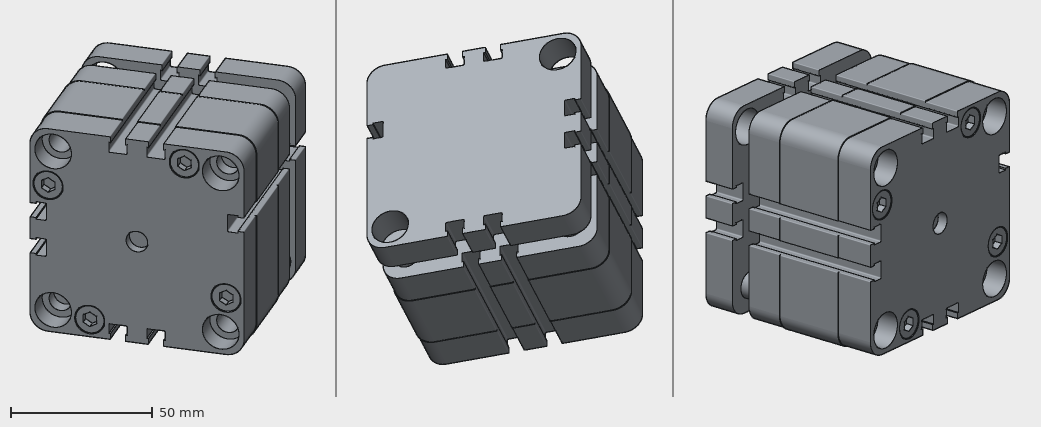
import cadquery as cq
import math


side = 80.0
corner_diameter = 14.0
corner_radius = corner_diameter / 2
end_cap_inset = 0.3
total_length = 74.5
plate_thickness = 12.0
gap = 7.5
front_cap_length = 14.5
barrel_length = 26.4
plate_start = total_length - plate_thickness
body_length = plate_start - gap
half_side = side / 2

slot_offset = 7.0
single_slot_offset = 11.9
lip_width = 5.5
lip_depth = 2.6
slot_depth = 6.4
undercut_width = 6.8
floor_radius = 0.5
mouth_radius = 0.3

slots = [(sign * slot_offset, turn) for turn in (0, 180, 270) for sign in (-1, 1)]
slots.append((-single_slot_offset, 90))

mount_offset = 31.0
counterbore_diameter = 13.5
counterbore_depth = 8.8
mount_hole_diameter = 8.4
centre_hole_diameter = 8.0
centre_hole_depth = 4.0

screw_near_offset = 17.5
screw_far_offset = 33.0
screw_recess_diameter = 11.1
screw_head_diameter = 10.5
screw_recess_depth = 6.0
screw_head_sink = 0.2
hex_across_flats = 5.0
hex_depth = 3.0

pin_diameter = 10.0
pin_offset = 29.8
rod_diameter = 16.0
rod_across_flats = 13.0
flat_length = 5.0
rod_taper_length = 1.5
rod_taper_inset = 0.4

overlap = 0.8

through_corners = [(-1, 1), (1, -1)]
pin_corners = [(1, 1), (-1, -1)]


def section_plane(y):
    """XZ sketch plane at y, with its normal along +Y and its local axes along +X and -Z."""
    return cq.Workplane(cq.Plane(origin=(0, y, 0), xDir=(1, 0, 0), normal=(0, 1, 0)))


def cylinder(x, z, diameter, start, length):
    return section_plane(start).center(x, -z).circle(diameter / 2).extrude(length)


def t_slot(offset, turn, face):
    """T-slot cutter along Y, opening at height face of the +Z side, then turned about Y."""
    half_lip = lip_width / 2
    half_undercut = undercut_width / 2
    lip_z = half_side - lip_depth
    floor_z = half_side - slot_depth
    half = (
        section_plane(0)
        .moveTo(0, -floor_z)
        .lineTo(half_undercut - floor_radius, -floor_z)
        .tangentArcPoint((half_undercut, -floor_z - floor_radius), relative=False)
        .lineTo(half_undercut, -lip_z)
        .lineTo(half_lip, -lip_z)
        .lineTo(half_lip, -face + mouth_radius)
        .tangentArcPoint((half_lip + mouth_radius, -face), relative=False)
        .lineTo(0, -face)
        .close()
        .extrude(total_length)
    )
    cutter = half.union(half.mirror("YZ"))
    return cutter.translate((offset, 0, 0)).rotate((0, 0, 0), (0, 1, 0), turn)


def slotted_block(start, length, inset):
    """Rounded square block with the T-slots, its faces set in from the widest outline by inset."""
    width = side - 2 * inset
    block = section_plane(start).rect(width, width).extrude(length)
    block = block.edges("|Y").fillet(corner_radius - inset)
    for offset, turn in slots:
        block = block.cut(t_slot(offset, turn, width / 2))
    return block


def cap_screw(x, z):
    """Screw head with a hexagon socket, seated on the floor of its recess."""
    head_length = screw_recess_depth - screw_head_sink
    head = cylinder(x, z, screw_head_diameter, screw_head_sink, head_length + overlap)
    corner_half_angle = 30
    hex_across_corners = hex_across_flats / math.cos(math.radians(corner_half_angle))
    socket = section_plane(screw_head_sink).polygon(6, hex_across_corners).extrude(hex_depth)
    socket = socket.rotate((0, 0, 0), (0, 1, 0), corner_half_angle).translate((x, 0, z))
    return head.cut(socket)


def piston_rod():
    """Rod with a slightly tapered end at the plate and two wrench flats that run out at 45 degrees."""
    radius = rod_diameter / 2
    tip_radius = radius - rod_taper_inset
    rod = (
        cq.Workplane("XY")
        .moveTo(0, body_length - overlap)
        .lineTo(radius, body_length - overlap)
        .lineTo(radius, plate_start - rod_taper_length)
        .lineTo(tip_radius, plate_start)
        .lineTo(tip_radius, plate_start + overlap)
        .lineTo(0, plate_start + overlap)
        .close()
        .revolve(360, (0, 0, 0), (0, 1, 0))
    )
    flat_x = rod_across_flats / 2
    flat_depth = radius - flat_x
    flat_start = plate_start - flat_length
    flat_cut = (
        cq.Workplane("XY")
        .moveTo(flat_x, plate_start)
        .lineTo(flat_x, flat_start)
        .lineTo(radius, flat_start - flat_depth)
        .lineTo(radius, plate_start)
        .close()
        .extrude(radius, both=True)
    )
    return rod.cut(flat_cut).cut(flat_cut.mirror("YZ"))


barrel_end = front_cap_length + barrel_length
body = slotted_block(0, front_cap_length, end_cap_inset)
body = body.union(slotted_block(front_cap_length, barrel_length, 0))
body = body.union(slotted_block(barrel_end, body_length - barrel_end, end_cap_inset))
plate = slotted_block(plate_start, plate_thickness, end_cap_inset)

for corners, depth in ((through_corners, body_length), (pin_corners, front_cap_length)):
    for x_sign, z_sign in corners:
        x = x_sign * mount_offset
        z = z_sign * mount_offset
        body = body.cut(cylinder(x, z, counterbore_diameter, 0, counterbore_depth))
        body = body.cut(cylinder(x, z, mount_hole_diameter, 0, depth))
for x_sign, z_sign in through_corners:
    x = x_sign * mount_offset
    z = z_sign * mount_offset
    plate = plate.cut(cylinder(x, z, counterbore_diameter, plate_start, plate_thickness))
body = body.cut(cylinder(0, 0, centre_hole_diameter, 0, centre_hole_depth))

screw_x = screw_near_offset
screw_z = screw_far_offset
for _ in range(4):
    body = body.cut(cylinder(screw_x, screw_z, screw_recess_diameter, 0, screw_recess_depth))
    body = body.union(cap_screw(screw_x, screw_z))
    screw_x, screw_z = -screw_z, screw_x

result = body.union(plate).union(piston_rod())
for x_sign, z_sign in pin_corners:
    x = x_sign * pin_offset
    z = z_sign * pin_offset
    pin = cylinder(x, z, pin_diameter, body_length - overlap, gap + 2 * overlap)
    result = result.union(pin)